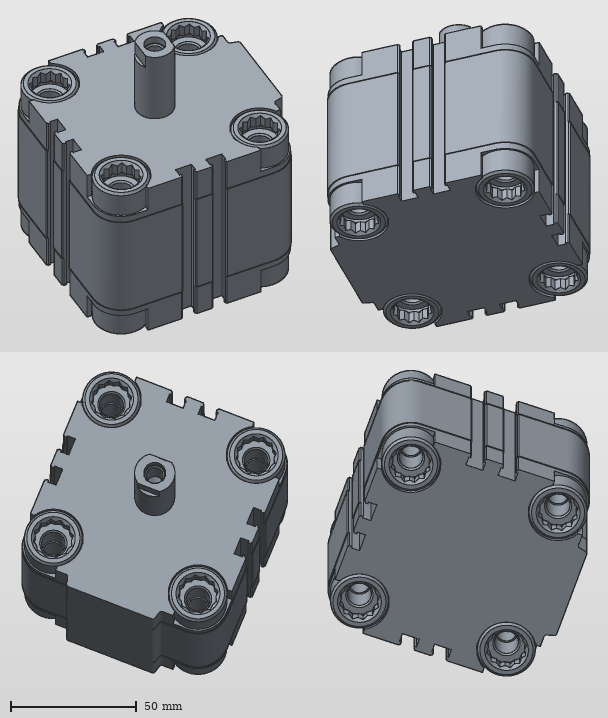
import cadquery as cq
import math

total_height = 107.5
housing_height = 75.0
end_height = 14.3

barrel_width = 87.0
housing_depth = 91.0
side_face = barrel_width / 2
end_inset = 0.3
bolt_offset = 31.0

pad_face = housing_depth - side_face
pad_base_half_width = 19.9
pad_top_half_width = 18.7
pad_edge_radius = 1.1
pad_root_radius = 1.1

slot_offset = 6.8
slot_mouth_width = 5.6
slot_inner_width = 7.1
slot_lip = 1.9
slot_depth = 5.4
slot_lip_radius = 0.5
slot_side_angles = (0, 90, -90)
slot_places = [(angle, x) for angle in slot_side_angles for x in (-slot_offset, slot_offset)]

pocket_depth = 11.3
pocket_inner_edge = 25.2
head_diameter = 23.0
head_clearance = 0.3
head_chamfer = 1.0
head_seam_angle = 225

socket_mouth_diameter = 17.4
socket_tip_diameter = 16.0
hexagon_sides = 6
hexagon_turns = (0, 180 / hexagon_sides)
star_depth = 5.9

socket_depth = 7.7
socket_floor_diameter = 16.5
bolt_bore_mouth_diameter = 10.9
bolt_bore_diameter = 9.5
bolt_bore_depth = 12.9
bolt_hole_diameter = 8.3

rod_diameter = 16.0
rod_length = total_height - housing_height
rod_flat_width = 13.0
rod_flat_height = 6.0

rod_bore_diameter = 8.6
rod_bore_depth = 3.2
thread_diameter = 8.0
thread_core_diameter = 6.7
thread_depth = 12.9
drill_point_angle = 118.0


def cylinder(diameter, top, depth):
    """Cylinder on the Z axis that reaches down from the given top."""
    return cq.Workplane("XY").workplane(offset=top - depth).circle(diameter / 2).extrude(depth)


def cone(top_diameter, bottom_diameter, top, depth):
    """Cone on the Z axis that reaches down from the given top."""
    base = cq.Vector(0, 0, top - depth)
    return cq.Workplane(cq.Solid.makeCone(bottom_diameter / 2, top_diameter / 2, depth, base))


def turn(shape, angle):
    """Rotate about the rod axis."""
    return shape.rotate((0, 0, 0), (0, 0, 1), angle)


def pad_block(face, bottom, height):
    """Tapered pad on +Y, from the middle of the housing out to the pad face."""
    pad = (
        cq.Workplane("XY")
        .workplane(offset=bottom)
        .moveTo(-pad_base_half_width, 0)
        .lineTo(-pad_base_half_width, face)
        .lineTo(-pad_top_half_width, pad_face)
        .lineTo(pad_top_half_width, pad_face)
        .lineTo(pad_base_half_width, face)
        .lineTo(pad_base_half_width, 0)
        .close()
        .extrude(height)
    )
    return pad.faces(">Y").edges("|Z").fillet(pad_edge_radius)


def slot_flare(x, face, bottom, height):
    """Cutter that rounds the two lips of a slot where it meets the -Y side face."""
    inner = slot_mouth_width / 2
    outer = inner + slot_lip_radius
    return (
        cq.Workplane("XY")
        .workplane(offset=bottom)
        .center(x, -face)
        .moveTo(-outer, 0)
        .radiusArc((-inner, slot_lip_radius), slot_lip_radius)
        .lineTo(inner, slot_lip_radius)
        .radiusArc((outer, 0), slot_lip_radius)
        .close()
        .extrude(height)
    )


def housing_block(inset, bottom, height):
    """One length of the housing, its side faces set in from the barrel's."""
    face = side_face - inset
    block = (
        cq.Workplane("XY")
        .workplane(offset=bottom)
        .rect(2 * face, 2 * face)
        .extrude(height)
        .edges("|Z")
        .fillet(face - bolt_offset)
        .union(pad_block(face, bottom, height))
    )
    for x in (-pad_base_half_width, pad_base_half_width):
        root = cq.NearestToPointSelector((x, face, bottom + height / 2))
        block = block.edges(root).fillet(pad_root_radius)
    for side_angle, x in slot_places:
        block = block.cut(turn(slot_flare(x, face, bottom, height), side_angle))
    return block


def t_slot(x):
    """Cutter for a full-length T-slot that opens on the -Y side."""
    mouth = (
        cq.Workplane("XY")
        .center(x, -side_face + slot_depth / 2)
        .rect(slot_mouth_width, slot_depth)
        .extrude(housing_height)
    )
    inner_depth = slot_depth - slot_lip
    inner = (
        cq.Workplane("XY")
        .center(x, -side_face + slot_lip + inner_depth / 2)
        .rect(slot_inner_width, inner_depth)
        .extrude(housing_height)
    )
    return mouth.union(inner)


def corner_pocket():
    """Clearance around the bolt head at the top +X +Y corner."""
    floor = housing_height - pocket_depth
    box_size = side_face - pocket_inner_edge
    box = cq.Workplane("XY").box(box_size, box_size, pocket_depth, centered=False)
    box = box.translate((pocket_inner_edge, pocket_inner_edge, floor))
    seat = cylinder(head_diameter + 2 * head_clearance, housing_height, pocket_depth)
    return box.union(seat.translate((bolt_offset, bolt_offset, 0)))


def bolt_head():
    """Chamfered bolt head at the top +X +Y corner, standing on the pocket floor."""
    head = cylinder(head_diameter, housing_height, pocket_depth)
    head = turn(head.faces(">Z").edges().chamfer(head_chamfer), head_seam_angle)
    return head.translate((bolt_offset, bolt_offset, 0))


def bolt_socket():
    """Cutter for the socket and bolt hole at the top +X +Y corner."""
    top = housing_height
    star_bottom = top - star_depth
    floor = top - socket_depth
    mouth_depth = (socket_mouth_diameter - bolt_bore_mouth_diameter) / 2
    bore_chamfer = (bolt_bore_mouth_diameter - bolt_bore_diameter) / 2

    cutter = cone(socket_mouth_diameter, bolt_bore_mouth_diameter, top, mouth_depth)
    for angle in hexagon_turns:
        hexagon = (
            cq.Workplane("XY")
            .workplane(offset=star_bottom)
            .polygon(hexagon_sides, socket_tip_diameter)
            .extrude(star_depth)
        )
        cutter = cutter.union(turn(hexagon, angle))
    cutter = cutter.union(cylinder(socket_floor_diameter, star_bottom, socket_depth - star_depth))
    cutter = cutter.union(cone(bolt_bore_mouth_diameter, bolt_bore_diameter, floor, bore_chamfer))
    cutter = cutter.union(cylinder(bolt_bore_diameter, floor, bolt_bore_depth))
    cutter = cutter.union(cylinder(bolt_hole_diameter, floor, floor))
    return cutter.translate((bolt_offset, bolt_offset, 0))


def at_all_corners(shape):
    """Copies of a top +X +Y corner shape at the four corners of both ends."""
    mirrored = shape.mirror("XY", (0, 0, housing_height / 2))
    return [turn(end, 90 * quarter) for end in (shape, mirrored) for quarter in range(4)]


def make_housing():
    housing = housing_block(0, end_height, housing_height - 2 * end_height)
    for bottom in (0, housing_height - end_height):
        housing = housing.union(housing_block(end_inset, bottom, end_height), clean=False)
    for side_angle, x in slot_places:
        housing = housing.cut(turn(t_slot(x), side_angle), clean=False)
    for pocket in at_all_corners(corner_pocket()):
        housing = housing.cut(pocket, clean=False)
    for head in at_all_corners(bolt_head()):
        housing = housing.union(head, clean=False)
    for socket in at_all_corners(bolt_socket()):
        housing = housing.cut(socket, clean=False)
    return housing


def rod_flats():
    """Cutter that leaves two parallel flats, facing -Y and +Y, at the rod's end."""
    outer_width = 2 * rod_diameter
    return (
        cq.Workplane("XY")
        .workplane(offset=total_height - rod_flat_height)
        .rect(outer_width, outer_width)
        .rect(outer_width - rod_diameter / 2, rod_flat_width)
        .extrude(rod_flat_height)
    )


def rod_end_hole():
    """Cutter for the counterbored, countersunk and drilled hole in the rod's end."""
    ledge = total_height - rod_bore_depth
    countersink_depth = (thread_diameter - thread_core_diameter) / 2
    point_depth = thread_core_diameter / 2 / math.tan(math.radians(drill_point_angle / 2))
    cutter = cylinder(rod_bore_diameter, total_height, rod_bore_depth)
    cutter = cutter.union(cone(thread_diameter, thread_core_diameter, ledge, countersink_depth))
    cutter = cutter.union(cylinder(thread_core_diameter, ledge, thread_depth))
    return cutter.union(cone(thread_core_diameter, 0, ledge - thread_depth, point_depth))


def make_rod():
    """Piston rod standing on the housing's top face."""
    rod = cylinder(rod_diameter, total_height, rod_length)
    return rod.cut(rod_flats()).cut(rod_end_hole())


housing = make_housing()
rod = make_rod()
result = cq.Compound.makeCompound([housing.solids().val(), rod.solids().val()])